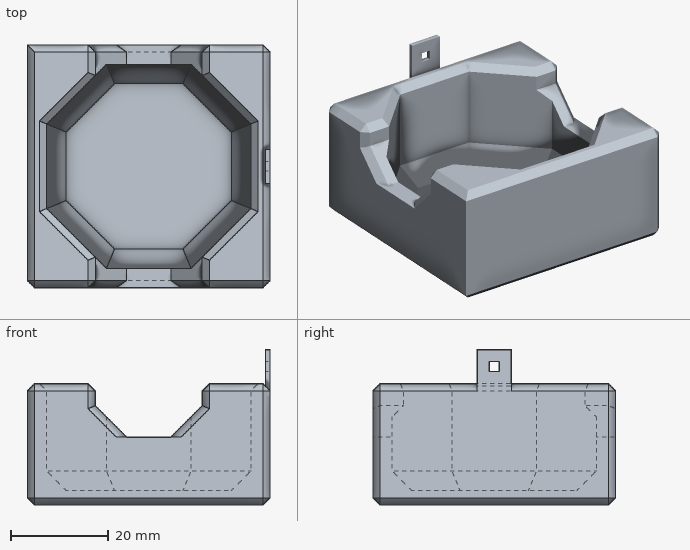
import cadquery as cq
import math

block_side = 50.0
block_height = 25.0
edge_chamfer = 1.5

pocket_width = 42.0
floor_bevel = 4.0
floor_thickness = 3.0

channel_width = 22.0

tab_side = 7.0
tab_thickness = 1.0
tab_hole_side = 2.0

half_side = block_side / 2
channel_floor_z = block_height - channel_width / 2


def octagonal_prism(plane, flats_width, length):
    """Regular octagonal prism with flats parallel to the plane's axes."""
    corner_radius = flats_width / 2 / math.cos(math.pi / 8)
    corner_angles = [math.pi / 8 + i * math.pi / 4 for i in range(8)]
    corners = [(corner_radius * math.cos(a), corner_radius * math.sin(a)) for a in corner_angles]
    return plane.polyline(corners).close().extrude(length)


def make_block():
    return cq.Workplane("XY").box(block_side, block_side, block_height, centered=(True, True, False))


def make_pocket():
    floor_plane = cq.Workplane("XY", origin=(0, 0, floor_thickness))
    pocket = octagonal_prism(floor_plane, pocket_width, block_height - floor_thickness)
    return pocket.faces("<Z").edges().chamfer(floor_bevel)


def make_channel():
    end_plane = cq.Workplane("XZ", origin=(0, half_side, block_height))
    return octagonal_prism(end_plane, channel_width, block_side)


def chamfer_outer_edges(body):
    """Chamfer every edge of the side faces and the top face, except three that stay sharp."""
    sharp_edge_midpoints = [
        (-half_side, half_side, block_height / 2),
        (0, half_side, channel_floor_z),
        (0, -half_side, channel_floor_z),
    ]
    outer_edges = body.faces("<X or >X or <Y or >Y or >Z").edges()
    chamfered_edges = outer_edges.vals()
    for midpoint in sharp_edge_midpoints:
        sharp_edge = body.edges(cq.selectors.NearestToPointSelector(midpoint)).val()
        chamfered_edges = [edge for edge in chamfered_edges if not edge.isSame(sharp_edge)]
    return body.newObject(chamfered_edges).chamfer(edge_chamfer)


def make_tab():
    base_z = block_height - edge_chamfer
    centre_x = half_side - tab_thickness / 2
    tab = cq.Workplane("XY", origin=(centre_x, 0, base_z)).box(
        tab_thickness, tab_side, tab_side + edge_chamfer, centered=(True, True, False)
    )
    hole = cq.Workplane("XY", origin=(centre_x, 0, block_height + tab_side / 2)).box(
        tab_thickness, tab_hole_side, tab_hole_side
    )
    return tab.cut(hole)


body = make_block().cut(make_pocket()).cut(make_channel())
result = chamfer_outer_edges(body).union(make_tab())